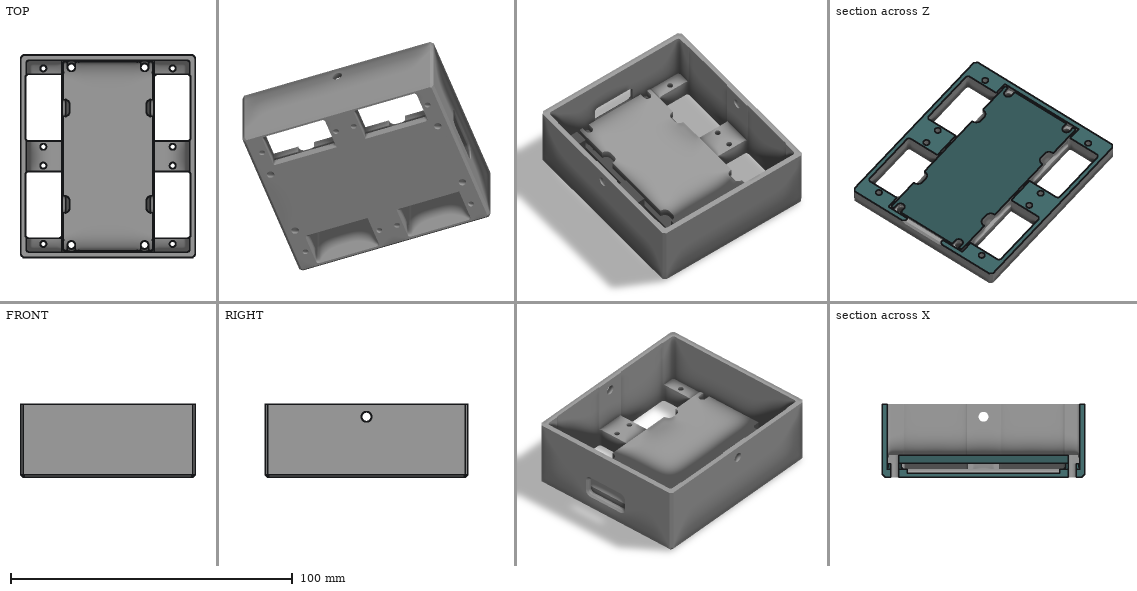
import cadquery as cq
import math

LENGTH_X = 62.0
LENGTH_Y = 72.0
HEIGHT = 26.0
WALL = 2.0
EDGE_CHAMFER = 1.0
INNER_CORNER_RADIUS = 1.0
INNER_X = LENGTH_X - 2 * WALL
INNER_Y = LENGTH_Y - 2 * WALL
FLOOR_TOP = 3.0

BLOCK_TOP = 7.0
BAY_WIDTH = 32.8
OPENING_LENGTH = 23.6
OPENING_RADIUS = 1.0
OPENING_Y = 17.25
WALL_RELIEF = 0.25
OPENING_INNER_X = BAY_WIDTH / 2
OPENING_OUTER_X = INNER_X / 2 + WALL_RELIEF
SCREW_DIAMETER = 2.1
SCREW_X = 22.95
SCREW_SPACING = 27.8

CHANNEL_WIDTH = 30.0
CHANNEL_LENGTH = 54.0
CHANNEL_BOTTOM = 1.5
CHANNEL_RADIUS = 1.0

SIDE_HOLE_DIAMETER = 3.5
SIDE_HOLE_Z = 21.5
WINDOW_WIDTH = 17.0
WINDOW_BOTTOM = 6.3
WINDOW_TOP = 13.5
WINDOW_RADIUS = 1.5
WINDOW_CHAMFER = 0.7

BOARD_X = 31.6
BOARD_Y = 67.0
BOARD_TOP = 8.0
BOARD_THICKNESS = 3.0
BOARD_BOTTOM = BOARD_TOP - BOARD_THICKNESS
BOARD_CORNER_RADIUS = 0.4
NOTCH_WIDTH = 6.0
NOTCH_DEPTH = 2.3
NOTCH_RADIUS = 2.0
NOTCH_Y = 17.1
MOUNT_X = 13.0
MOUNT_Y = 31.5
MOUNT_HOLE_DIAMETER = 2.7
SLOT_WIDTH = 2.8
SPACER_DIAMETER = 4.9
SPACER_FOOT_RADIUS = 0.8

SIGNS = [(sx, sy) for sx in (-1, 1) for sy in (-1, 1)]
MOUNT_POINTS = [(sx * MOUNT_X, sy * MOUNT_Y) for sx, sy in SIGNS]


def block(size_x, size_y, bottom, top):
    """Centred rectangular block between two heights."""
    return cq.Workplane("XY").workplane(offset=bottom).rect(size_x, size_y).extrude(top - bottom)


def cylinders(points, diameter, bottom, top):
    """Upright cylinders at the given points."""
    centers = cq.Workplane("XY").workplane(offset=bottom).pushPoints(points)
    return centers.circle(diameter / 2).extrude(top - bottom)


def side_opening(sx, sy):
    """Cutter for one opening; it also relieves the side wall up to the rim."""
    width = OPENING_OUTER_X - OPENING_INNER_X
    center_x = sx * (OPENING_OUTER_X + OPENING_INNER_X) / 2
    cutter = block(width, OPENING_LENGTH, 0, HEIGHT).translate((center_x, sy * OPENING_Y, 0))
    cutter = cutter.edges("|Z").edges(">X" if sx > 0 else "<X").fillet(OPENING_RADIUS)
    if sx == sy:
        inner_corner = cq.selectors.NearestToPointSelector(
            (sx * OPENING_INNER_X, sy * (OPENING_Y + OPENING_LENGTH / 2), HEIGHT / 2)
        )
        cutter = cutter.edges("|Z").edges(inner_corner).fillet(OPENING_RADIUS)
    return cutter


def make_housing():
    shell = block(LENGTH_X, LENGTH_Y, 0, HEIGHT)
    shell = shell.edges("|Z").chamfer(EDGE_CHAMFER).faces("<Z").chamfer(EDGE_CHAMFER)
    cavity = block(INNER_X, INNER_Y, BLOCK_TOP, HEIGHT).edges("|Z").fillet(INNER_CORNER_RADIUS)
    bay = block(BAY_WIDTH, INNER_Y, FLOOR_TOP, BLOCK_TOP)
    channel = block(CHANNEL_WIDTH, CHANNEL_LENGTH, CHANNEL_BOTTOM, FLOOR_TOP)
    channel = channel.faces("<Z").edges("|Y").fillet(CHANNEL_RADIUS)
    housing = shell.cut(cavity).cut(bay).cut(channel)

    for sx, sy in SIGNS:
        housing = housing.cut(side_opening(sx, sy))

    screw_points = [
        (sx * SCREW_X, sy * OPENING_Y + end * SCREW_SPACING / 2) for sx, sy in SIGNS for end in (-1, 1)
    ]
    housing = housing.cut(cylinders(screw_points, SCREW_DIAMETER, 0, BLOCK_TOP))
    housing = housing.cut(cylinders(MOUNT_POINTS, MOUNT_HOLE_DIAMETER, 0, FLOOR_TOP))

    side_holes = (
        cq.Workplane("YZ")
        .center(0, SIDE_HOLE_Z)
        .circle(SIDE_HOLE_DIAMETER / 2)
        .extrude(LENGTH_X / 2, both=True)
    )
    window = block(WINDOW_WIDTH, WALL, WINDOW_BOTTOM, WINDOW_TOP).edges("|Y").fillet(WINDOW_RADIUS)
    window = window.translate((0, (LENGTH_Y - WALL) / 2, 0))
    housing = housing.cut(side_holes).cut(window)
    window_rim = cq.selectors.BoxSelector(
        (-WINDOW_WIDTH, LENGTH_Y / 2 - WALL / 2, WINDOW_BOTTOM - WALL),
        (WINDOW_WIDTH, LENGTH_Y / 2 + WALL / 2, WINDOW_TOP + WALL),
    )
    return housing.faces(">Y").edges(window_rim).chamfer(WINDOW_CHAMFER)


def make_board():
    board = block(BOARD_X, BOARD_Y, BOARD_BOTTOM, BOARD_TOP).edges("|Z").fillet(BOARD_CORNER_RADIUS)
    for sx, sy in SIGNS:
        notch = block(2 * NOTCH_DEPTH, NOTCH_WIDTH, BOARD_BOTTOM, BOARD_TOP).edges("|Z").fillet(NOTCH_RADIUS)
        board = board.cut(notch.translate((sx * BOARD_X / 2, sy * NOTCH_Y, 0)))
    board = board.cut(cylinders(MOUNT_POINTS, SLOT_WIDTH, BOARD_BOTTOM, BOARD_TOP))
    slot_length = BOARD_Y / 2 - MOUNT_Y
    for sx, sy in SIGNS:
        mouth = block(SLOT_WIDTH, slot_length, BOARD_BOTTOM, BOARD_TOP)
        board = board.cut(mouth.translate((sx * MOUNT_X, sy * (MOUNT_Y + slot_length / 2), 0)))
    return board


def make_spacer(point):
    """Bored spacer with a concave flare at its foot, revolved about its axis."""
    bore_radius = MOUNT_HOLE_DIAMETER / 2
    radius = SPACER_DIAMETER / 2
    foot_radius = radius + SPACER_FOOT_RADIUS
    flare_top = FLOOR_TOP + SPACER_FOOT_RADIUS
    flare_middle = SPACER_FOOT_RADIUS * (1 - math.sqrt(0.5))
    profile = (
        cq.Workplane("XZ")
        .moveTo(bore_radius, FLOOR_TOP)
        .lineTo(bore_radius, BOARD_BOTTOM)
        .lineTo(radius, BOARD_BOTTOM)
        .lineTo(radius, flare_top)
        .threePointArc((radius + flare_middle, FLOOR_TOP + flare_middle), (foot_radius, FLOOR_TOP))
        .close()
    )
    spacer = profile.revolve(360, (0, 0, 0), (0, 1, 0)).translate((*point, 0))
    return spacer.intersect(block(BAY_WIDTH, INNER_Y, FLOOR_TOP, BOARD_BOTTOM))


housing = make_housing()
board = make_board()
spacers = [make_spacer(point) for point in MOUNT_POINTS]

result = cq.Compound.makeCompound([housing.val(), board.val(), *[spacer.val() for spacer in spacers]])